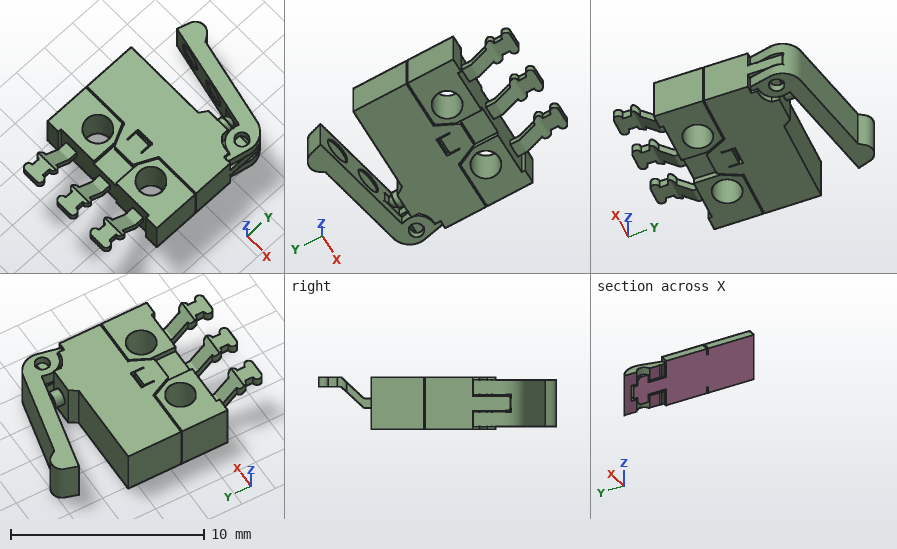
import cadquery as cq
import math


total_length = 12.3
housing_width = 8.2
housing_depth = 2.7
half_width = housing_width / 2
half_depth = housing_depth / 2
terminal_end_y = -2.72
lever_top_y = terminal_end_y + total_length
lever_overhang = 0.11

foot_width = 0.81
foot_height = 0.2
shoulder_y = 5.98
housing_top_y = 6.43
step_start_x = 0.92
step_end_x = 1.22

groove_depth = 0.36
groove_bottom_y = 2.73
groove_top_y = 2.8
tongue_root_half = 1.29
tongue_tip_half = 0.69
tongue_tip_y = 1.54
notch_root_half = 1.35
notch_half = 0.84
notch_corner_y = 1.69

latch_half = 0.54
latch_top_y = 3.08
latch_bar_y = 2.88
latch_end_y = 2.31
latch_leg = 0.05

mount_diameter = 1.6
mount_x = 1.99
mount_y = 1.59

plunger_x = 1.99
plunger_diameter = 0.9
plunger_shoulder_y = 6.99
plunger_tip_diameter = 0.74

terminal_pitch = 2.5
terminal_count = 3
terminal_width = 0.8
terminal_thickness = 0.5
bend_start_y = -0.37
bend_end_y = -1.55
bend_radius = 0.15
lobe_width = 1.33
lobe_height = 0.49
lobe_ys = (-1.51, terminal_end_y + lobe_height / 2)

lever_tilt = 12.5
lever_depth = 2.41
tip_u = -7.0
underside_v = 0.3
lever_thickness = 0.9
outer_side_v = underside_v + lever_thickness
bump_u = -6.32
bump_v = 1.0
bump_radius = 0.62
bump_foot_u = -5.63
knee_u = -0.47
knee_radius = 1.15
knee_v = outer_side_v - knee_radius
back_u = knee_u + knee_radius
hub_front_u = -0.79
hub_radius = 0.95
hub_u = hub_front_u + hub_radius
hub_v = 0.0
heel_radius = 0.15
heel_u = back_u - heel_radius
heel_v = -1.12
hinge_hole_diameter = 0.8
lever_slot_width = 0.9
lever_slot_start_u = -2.12
lever_slot_depth = 0.42
mark_diameter = 1.5
mark_depth = 0.1
mark_us = (-5.7, -3.36)

tilt_cos = math.cos(math.radians(lever_tilt))
tilt_sin = math.sin(math.radians(lever_tilt))
hinge_x = half_width + lever_overhang - knee_radius - (knee_u * tilt_cos + knee_v * tilt_sin)
hinge_y = lever_top_y - bump_radius - (bump_v * tilt_cos - bump_u * tilt_sin)

web_thickness = 0.75
web_front_x = 2.68
web_top_y = 7.18
hub_recess_radius = 1.03
heel_recess_x = 3.63
heel_recess_y = 5.25
pin_diameter = 0.74
pin_half_length = 0.84
pin_edge_radius = 0.09
pin_ramp_y = 0.16


def block(x0, x1, y0, y1, z0, z1):
    """Box between two opposite corners."""
    return cq.Workplane("XY").box(x1 - x0, y1 - y0, z1 - z0, centered=False).translate((x0, y0, z0))


def both_faces(cutter):
    """A cutter for the +Z face together with its mirror image for the -Z face."""
    return cutter.union(cutter.mirror("XY"))


def tangent_point(center, radius, point, side):
    """Point where a line from `point` touches a circle; `side` is +1 or -1."""
    du = point[0] - center[0]
    dv = point[1] - center[1]
    angle = math.atan2(dv, du) + side * math.acos(radius / math.hypot(du, dv))
    return (center[0] + radius * math.cos(angle), center[1] + radius * math.sin(angle))


def housing_block():
    outline = [
        (-half_width, 0),
        (-half_width + foot_width, 0),
        (-half_width + foot_width, foot_height),
        (half_width - foot_width, foot_height),
        (half_width - foot_width, 0),
        (half_width, 0),
        (half_width, web_top_y),
        (web_front_x, web_top_y),
        (web_front_x, housing_top_y),
        (step_end_x, housing_top_y),
        (step_start_x, shoulder_y),
        (-half_width, shoulder_y),
    ]
    return cq.Workplane("XY").polyline(outline).close().extrude(half_depth, both=True)


def parting_groove():
    """Groove round the housing, widened into a recess beyond the tip of the tongue."""
    groove = [
        (-half_width, groove_top_y),
        (-tongue_root_half, groove_top_y),
        (-tongue_tip_half, tongue_tip_y),
        (tongue_tip_half, tongue_tip_y),
        (tongue_root_half, groove_top_y),
        (half_width, groove_top_y),
        (half_width, groove_bottom_y),
        (notch_root_half, groove_bottom_y),
        (notch_half, notch_corner_y),
        (notch_half, 0),
        (-notch_half, 0),
        (-notch_half, notch_corner_y),
        (-notch_root_half, groove_bottom_y),
        (-half_width, groove_bottom_y),
    ]
    face_plane = cq.Workplane("XY", origin=(0, 0, half_depth))
    cutter = both_faces(face_plane.polyline(groove).close().extrude(-groove_depth))
    for inner_x in (-half_width, half_width - groove_depth):
        side = block(inner_x, inner_x + groove_depth, groove_bottom_y, groove_top_y, -half_depth, half_depth)
        cutter = cutter.union(side)
    return cutter


def latch_slot():
    floor_z = half_depth - groove_depth
    slot = block(-latch_half, latch_half, latch_end_y, latch_top_y, floor_z, half_depth)
    tab_half = latch_half - latch_leg
    tab = block(-tab_half, tab_half, latch_end_y, latch_bar_y, floor_z, half_depth)
    return both_faces(slot.cut(tab))


def mounting_holes():
    centers = [(-mount_x, mount_y), (mount_x, mount_y)]
    return cq.Workplane("XY").pushPoints(centers).circle(mount_diameter / 2).extrude(half_depth, both=True)


def hinge_recess():
    """Space beside the web for the two cheeks of the lever."""
    floor_z = web_thickness / 2
    upper = block(web_front_x, half_width, hinge_y, web_top_y, floor_z, half_depth)
    disc = cq.Workplane("XY", origin=(hinge_x, hinge_y, floor_z)).circle(hub_recess_radius)
    disc = disc.extrude(half_depth - floor_z)
    lower = block(web_front_x, half_width, heel_recess_y, hinge_y, floor_z, half_depth).intersect(disc)
    heel = block(heel_recess_x, half_width, heel_recess_y, hinge_y, floor_z, half_depth)
    return both_faces(upper.union(lower).union(heel))


def hinge_pins():
    """Pin through the web with rounded ends, ramped on +Y so that the lever snaps on."""
    pin = cq.Workplane("XY").circle(pin_diameter / 2).extrude(pin_half_length, both=True)
    pin = pin.edges("%CIRCLE").fillet(pin_edge_radius)
    ramp_run = pin_diameter / 2 - pin_ramp_y
    ramp = (
        cq.Workplane("YZ")
        .moveTo(pin_ramp_y, pin_half_length)
        .lineTo(pin_ramp_y + ramp_run, pin_half_length)
        .lineTo(pin_ramp_y + ramp_run, pin_half_length - ramp_run)
        .close()
        .extrude(pin_diameter / 2, both=True)
    )
    return pin.cut(both_faces(ramp)).translate((hinge_x, hinge_y, 0))


def plunger():
    stem = cq.Workplane("XZ", origin=(plunger_x, shoulder_y, 0)).circle(plunger_diameter / 2)
    stem = stem.extrude(shoulder_y - plunger_shoulder_y)
    tip = cq.Workplane("XY").sphere(plunger_tip_diameter / 2)
    return stem.union(tip.translate((plunger_x, plunger_shoulder_y, 0)))


def terminal():
    """Lobed blade with a double bend, raised at its free end to the +Z face of the housing."""
    low_z = -terminal_thickness / 2
    high_z = half_depth - terminal_thickness
    side_profile = [
        (foot_height, low_z),
        (bend_start_y, low_z),
        (bend_end_y, high_z),
        (terminal_end_y, high_z),
        (terminal_end_y, high_z + terminal_thickness),
        (bend_end_y, high_z + terminal_thickness),
        (bend_start_y, low_z + terminal_thickness),
        (foot_height, low_z + terminal_thickness),
    ]
    strip = cq.Workplane("YZ").polyline(side_profile).close().extrude(lobe_width / 2, both=True)
    bends = cq.selectors.BoxSelector(
        (-lobe_width, bend_end_y - bend_radius, -half_depth),
        (lobe_width, bend_start_y + bend_radius, half_depth),
    )
    strip = strip.edges("|X").edges(bends).fillet(bend_radius)
    blade_length = foot_height - terminal_end_y - lobe_height / 2
    outline = (
        cq.Workplane("XY", origin=(0, foot_height - blade_length / 2, 0))
        .rect(terminal_width, blade_length)
        .extrude(half_depth, both=True)
    )
    for lobe_y in lobe_ys:
        lobe = cq.Workplane("XY", origin=(0, lobe_y, 0)).slot2D(lobe_width, lobe_height)
        outline = outline.union(lobe.extrude(half_depth, both=True))
    return strip.intersect(outline)


def make_housing():
    body = housing_block().cut(parting_groove()).cut(latch_slot()).cut(mounting_holes())
    body = body.cut(hinge_recess()).union(hinge_pins()).union(plunger())
    for index in range(terminal_count):
        x = (index - (terminal_count - 1) / 2) * terminal_pitch
        body = body.union(terminal().translate((x, 0, 0)))
    return body


def lever_blank():
    bump_center = (bump_u, bump_v)
    bump_start = tangent_point(bump_center, bump_radius, (tip_u, underside_v), -1)
    bump_end = tangent_point(bump_center, bump_radius, (bump_foot_u, outer_side_v), 1)
    diagonal = math.sqrt(0.5)
    return (
        cq.Workplane("XY")
        .moveTo(tip_u, underside_v)
        .lineTo(*bump_start)
        .threePointArc((bump_u, bump_v + bump_radius), bump_end)
        .lineTo(bump_foot_u, outer_side_v)
        .lineTo(knee_u, outer_side_v)
        .threePointArc((knee_u + knee_radius * diagonal, knee_v + knee_radius * diagonal), (back_u, knee_v))
        .lineTo(back_u, heel_v)
        .threePointArc((heel_u, heel_v - heel_radius), (heel_u - heel_radius, heel_v))
        .lineTo(heel_u - heel_radius, hub_v - hub_radius)
        .lineTo(hub_u, hub_v - hub_radius)
        .threePointArc((hub_u - hub_radius * diagonal, hub_v - hub_radius * diagonal), (hub_front_u, hub_v))
        .lineTo(hub_front_u, underside_v)
        .close()
        .extrude(lever_depth / 2, both=True)
    )


def lever_slot():
    """Slot that straddles the hinge web and clears the plunger."""
    slot_half = lever_slot_width / 2
    heel_end_v = heel_v - heel_radius
    slot_top_v = underside_v + lever_slot_depth
    return block(lever_slot_start_u, back_u, heel_end_v, slot_top_v, -slot_half, slot_half)


def round_marks():
    """Shallow round recesses in the underside."""
    marks = cq.Workplane("XZ", origin=(0, underside_v, 0)).pushPoints([(u, 0) for u in mark_us])
    return marks.circle(mark_diameter / 2).extrude(-mark_depth)


def make_lever():
    hinge_hole = cq.Workplane("XY").circle(hinge_hole_diameter / 2).extrude(lever_depth / 2, both=True)
    body = lever_blank().cut(lever_slot()).cut(round_marks()).cut(hinge_hole)
    return body.rotate((0, 0, 0), (0, 0, 1), -lever_tilt).translate((hinge_x, hinge_y, 0))


housing = make_housing().solids()
lever = make_lever().solids()

result = cq.Compound.makeCompound([housing.val(), lever.val()])